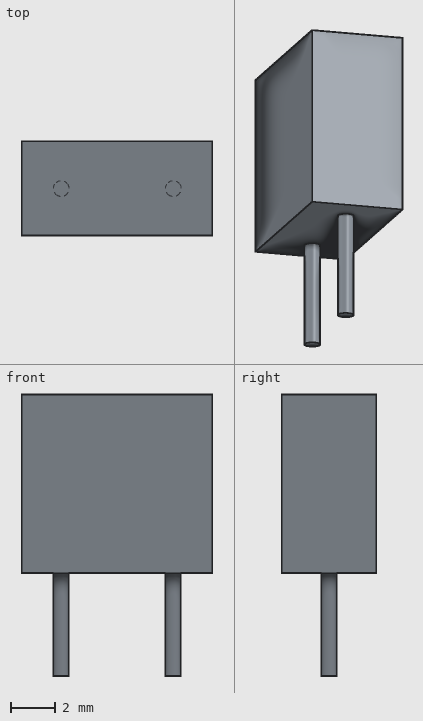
import cadquery as cq

total_height = 12.78
body_length = 8.66
body_width = 4.3
body_height = 8.1

lead_diameter = 0.72
lead_spacing = 5.09
lead_length = total_height - body_height


def make_body():
    """Rectangular component body, standing on the plane Z = 0."""
    return cq.Workplane("XY").box(body_length, body_width, body_height, centered=(True, True, False))


def make_lead(x):
    """Round lead that hangs from the underside of the body at the given X."""
    return cq.Workplane("XY").center(x, 0).circle(lead_diameter / 2).extrude(-lead_length)


body = make_body()
leads = [make_lead(side * lead_spacing / 2) for side in (-1, 1)]

result = cq.Compound.makeCompound([body.val(), *[lead.val() for lead in leads]])